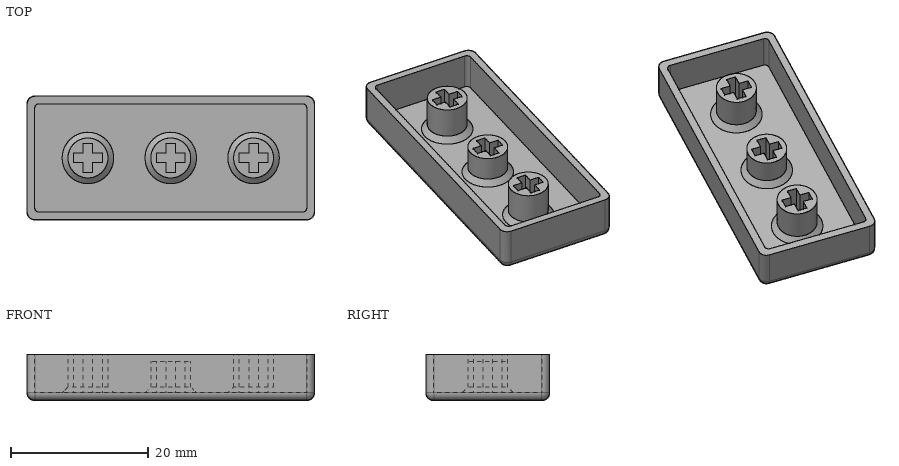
import cadquery as cq

length = 41.85
width = 18.05
height = 6.7
wall = 1.15
floor_thickness = 1.15
outer_radius = 1.17
bottom_radius = 1.15
inner_radius = 0.63

stem_spacing = 12.05
stem_diameter = 5.8
middle_stem_drop = 1.05
flare = 0.85
stem_places = [
    (-stem_spacing, height),
    (0, height - middle_stem_drop),
    (stem_spacing, height),
]

cross_span = 4.2
cross_arm_width = 1.4


def make_shell():
    outer = cq.Workplane("XY").box(length, width, height, centered=(True, True, False))
    outer = outer.edges("|Z").fillet(outer_radius)
    outer = outer.faces("<Z").edges().fillet(bottom_radius)
    cavity = (
        cq.Workplane("XY", origin=(0, 0, floor_thickness))
        .rect(length - 2 * wall, width - 2 * wall)
        .extrude(height - floor_thickness)
        .edges("|Z")
        .fillet(inner_radius)
    )
    return outer.cut(cavity)


def make_stem(stem_top):
    """Post with a conical foot, revolved about Z; it starts on the floor."""
    radius = stem_diameter / 2
    return (
        cq.Workplane("XZ")
        .moveTo(0, floor_thickness)
        .lineTo(radius + flare, floor_thickness)
        .lineTo(radius, floor_thickness + flare)
        .lineTo(radius, stem_top)
        .lineTo(0, stem_top)
        .close()
        .revolve(360, (0, 0), (0, 1))
    )


def make_socket(stem_top):
    socket_depth = stem_top - floor_thickness
    plane = cq.Workplane("XY", origin=(0, 0, stem_top))
    along_x = plane.rect(cross_span, cross_arm_width).extrude(-socket_depth)
    along_y = plane.rect(cross_arm_width, cross_span).extrude(-socket_depth)
    return along_x.union(along_y)


result = make_shell()
for x, stem_top in stem_places:
    stem = make_stem(stem_top).cut(make_socket(stem_top))
    result = result.union(stem.translate((x, 0, 0)))